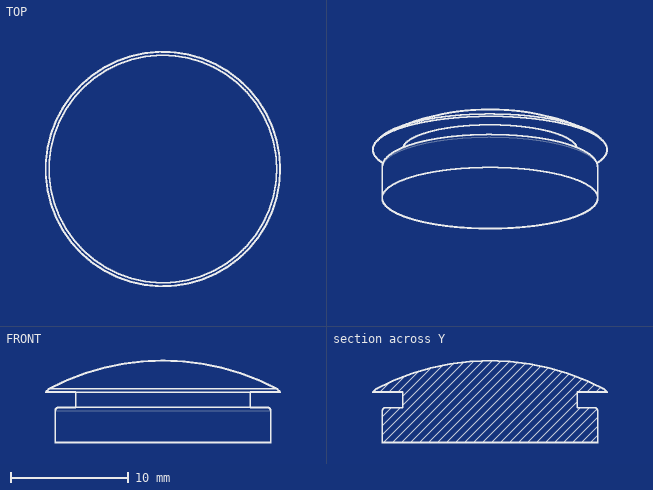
import cadquery as cq

rim_radius = 20 / 2
dome_edge_radius = 19.4 / 2
neck_radius = 14.9 / 2
base_radius = 18.4 / 2

total_height = 7
base_height = 3
neck_height = 1.3
rim_height = 0.3
base_edge_fillet = 0.3

rim_bottom = base_height + neck_height
dome_bottom = rim_bottom + rim_height

dome_rise = total_height - dome_bottom
sphere_radius = (dome_edge_radius**2 + dome_rise**2) / (2 * dome_rise)
sphere_center = total_height - sphere_radius

dome_mid_radius = dome_edge_radius / 2
dome_mid_height = sphere_center + (sphere_radius**2 - dome_mid_radius**2) ** 0.5


def make_base():
    """Plug disc with a rounded upper edge."""
    disc = cq.Workplane("XY").circle(base_radius).extrude(base_height)
    return disc.edges(">Z").fillet(base_edge_fillet)


def make_neck():
    """Narrow cylinder between the plug and the cap, leaving a groove."""
    return cq.Workplane("XY").circle(neck_radius).extrude(rim_bottom)


def make_cap():
    """Domed cap with a bevelled rim, revolved about Z."""
    profile = (
        cq.Workplane("XZ")
        .moveTo(0, rim_bottom)
        .lineTo(rim_radius, rim_bottom)
        .lineTo(dome_edge_radius, dome_bottom)
        .threePointArc((dome_mid_radius, dome_mid_height), (0, total_height))
        .close()
    )
    return profile.revolve(360, (0, 0, 0), (0, 1, 0))


result = make_base().union(make_neck()).union(make_cap())